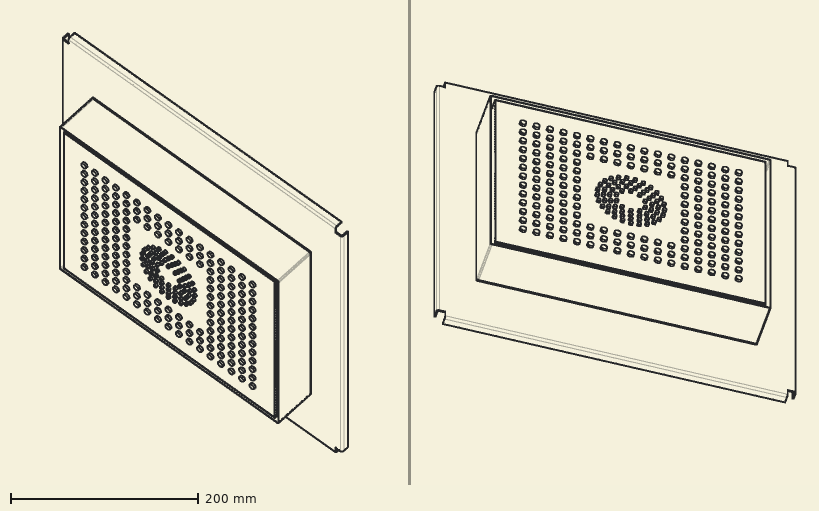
import cadquery as cq
import math

plate_size = 400.0
total_depth = 65.1

plate_depth = 10.0
plate_sheet = 1.5
bend_radius = 2.5
corner_notch = 9.5

frame_width = 312.5
frame_height = 252.5
frame_depth = 52.5
frame_sheet = 1.0
frame_corner_radius = 2.0
channel_pitch = 5.5

panel_width = frame_width - 2 * (channel_pitch + frame_sheet)
panel_height = frame_height - 2 * (channel_pitch + frame_sheet)
panel_thickness = 2.0

mat_thickness = 2.0
nozzle_reach = total_depth - plate_depth - frame_depth
nozzle_length = panel_thickness + nozzle_reach

grid_pitch = 15.0
grid_columns = 17
grid_rows = 13
window_half_steps = 3
grid_nozzle_diameter = 6.7

ring_counts = (10, 15, 20, 25)
first_ring_radius = 16.8
ring_spacing = 6.9
ring_nozzle_diameter = 4.0

plate_front = 0.0
plate_back = plate_front + plate_depth
frame_front = plate_front - frame_depth
panel_back = frame_front + panel_thickness
mat_back = panel_back + mat_thickness


def block(width, height, front, back):
    """A block centred on the Y axis that spans two Y positions."""
    depth = back - front
    return cq.Workplane("XY").box(width, depth, height).translate((0, front + depth / 2, 0))


def make_plate():
    """The flanged plate, with rounded bends and square notches at its corners."""
    inner_size = plate_size - 2 * plate_sheet
    outer = block(plate_size, plate_size, plate_front, plate_back)
    outer = outer.faces("<Y").edges().fillet(bend_radius)
    inner = block(inner_size, inner_size, plate_front + plate_sheet, plate_back)
    inner = inner.faces("<Y").edges().fillet(bend_radius - plate_sheet)
    plate = outer.cut(inner)
    notch = block(corner_notch, corner_notch, plate_front, plate_back)
    notch_centre = (plate_size - corner_notch) / 2
    for x in (-notch_centre, notch_centre):
        for z in (-notch_centre, notch_centre):
            plate = plate.cut(notch.translate((x, 0, z)))
    return plate


def make_frame():
    """The channel: an outer wall, a floor on the plate and an inner wall round the panel."""
    outer = block(frame_width, frame_height, frame_front, plate_front)
    outer = outer.edges("|Y").fillet(frame_corner_radius)

    floor_front = plate_front - frame_sheet
    groove_width = frame_width - 2 * frame_sheet
    groove_height = frame_height - 2 * frame_sheet
    groove = block(groove_width, groove_height, frame_front, floor_front)
    groove = groove.edges("|Y").fillet(frame_corner_radius - frame_sheet)
    island_width = panel_width + 2 * frame_sheet
    island_height = panel_height + 2 * frame_sheet
    groove = groove.cut(block(island_width, island_height, frame_front, floor_front))

    opening = block(panel_width, panel_height, frame_front, plate_front)
    return outer.cut(groove).cut(opening)


def grid_points():
    """Centres of the large nozzles."""
    points = []
    for column in range(grid_columns):
        for row in range(grid_rows):
            i = column - grid_columns // 2
            j = row - grid_rows // 2
            if abs(i) > window_half_steps or abs(j) > window_half_steps:
                points.append((i * grid_pitch, j * grid_pitch))
    return points


def ring_points():
    """Centres of the small nozzles; every ring has one straight below the centre."""
    points = []
    for ring, count in enumerate(ring_counts):
        radius = first_ring_radius + ring * ring_spacing
        for k in range(count):
            angle = 2 * math.pi * k / count
            points.append((radius * math.sin(angle), -radius * math.cos(angle)))
    return points


def make_nozzles():
    """All nozzles as cylinders from the back of the panel to their tips."""
    base = cq.Workplane("XZ", origin=(0, panel_back, 0))
    large = base.pushPoints(grid_points()).circle(grid_nozzle_diameter / 2).extrude(nozzle_length)
    small = base.pushPoints(ring_points()).circle(ring_nozzle_diameter / 2).extrude(nozzle_length)
    return large.add(small)


def make_panel(nozzles):
    """The cover, with a matching hole for every nozzle."""
    cover = block(panel_width, panel_height, frame_front, panel_back)
    return cq.Workplane(cover.val().cut(*nozzles.vals()))


def make_mat(nozzles):
    """The backing sheet and its nozzles in one piece."""
    backing = block(panel_width, panel_height, panel_back, mat_back)
    return cq.Workplane(backing.val().fuse(*nozzles.vals()))


nozzles = make_nozzles()
plate = make_plate()
frame = make_frame()
panel = make_panel(nozzles)
mat = make_mat(nozzles)
result = cq.Compound.makeCompound([plate.val(), frame.val(), *panel.solids().vals(), *mat.solids().vals()])